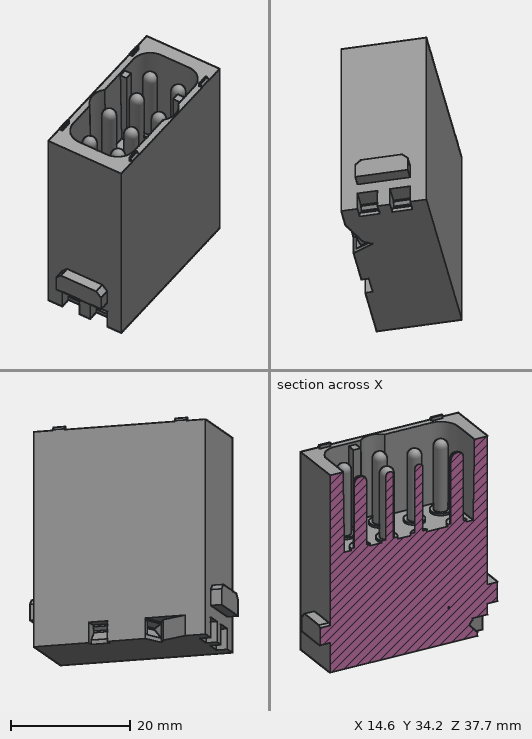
import cadquery as cq
import math

total_height = 37.67
total_length = 34.2
body_width = 14.6
body_length = 30.35
peg_height = 0.6
body_height = total_height - peg_height

cavity_width = 12.2
cavity_length = 25.2
cavity_corner_radius = 3.3
cavity_depth = 15.05
cavity_draft = 1.0
bulge_radius = 3.3
floor_z = body_height - cavity_depth

pin_diameter = 2.5
pin_tip_z = 35.4
collar_diameter = 3.7
collar_height = 0.38
bulge_pin = (3.73, 1.92)
half_pins = [(2.83, 9.3), bulge_pin, (1.85, -3.7), (2.83, -9.3)]
pins = half_pins + [(-x, -y) for x, y in half_pins]

rib_top_z = 36.55
rib_y_min = 5.2
rib_y_max = 6.6
left_rib_tip_x = -4.85
right_rib_tip_x = 4.45

tab_bottom_z = 5.58
tab_top_z = 9.25
tab_chamfer = 0.98
front_tab_width = 9.0
back_tab_width = 6.95

peg_length = 2.07
peg_width = 0.65
peg_chamfer_width = 0.35
peg_side_height = 0.1
peg_y = 10.77

slot_height = 3.55
lip_top_z = 0.75
groove_bottom_z = 2.35
groove_top_z = 2.65
roof_wall_z = 3.25
groove_depth = 1.47
roof_wall_depth = 0.98
slot_width = 3.43
front_slot_x = 2.8
front_lip_depth = 1.92
side_slot_width = 3.28
side_slot_y = 3.75
side_lip_depth = 1.28

pocket_y_max = -4.55
pocket_y_min = -11.65
pocket_angle = 24.6
pocket_wall_length = 3.95
pocket_groove_start = 0.53
pocket_roof_depth = 0.1
pocket_ramp_length = 5.0


def tab_block(width, y_start, y_end):
    """End tab with its two upper edges chamfered."""
    height = tab_top_z - tab_bottom_z
    block = cq.Workplane("XY").box(width, y_end - y_start, height, centered=(True, False, False))
    block = block.edges("|Y and >Z").chamfer(tab_chamfer)
    return block.translate((0, y_start, tab_bottom_z))


def peg():
    """Peg on the left top edge, sloped on its outer side."""
    outer_x = -body_width / 2
    profile = (
        cq.Workplane("XZ")
        .moveTo(outer_x, body_height)
        .lineTo(outer_x, body_height + peg_side_height)
        .lineTo(outer_x + peg_chamfer_width, total_height)
        .lineTo(outer_x + peg_width, total_height)
        .lineTo(outer_x + peg_width, body_height)
        .close()
    )
    return profile.extrude(peg_length / 2, both=True)


def undercut(width, roof_depth):
    """Latch groove behind a wall at Y = 0, running into +Y and centred on X."""
    profile = (
        cq.Workplane("YZ")
        .moveTo(0, lip_top_z)
        .lineTo(groove_depth, groove_bottom_z)
        .lineTo(groove_depth, groove_top_z)
        .lineTo(roof_depth, roof_wall_z)
        .lineTo(roof_depth, slot_height)
        .lineTo(0, slot_height)
        .close()
    )
    return profile.extrude(width / 2, both=True)


def slot_cutter(width, lip_depth):
    """Slot running into +Y from Y = 0, centred on X, with an undercut above its lip."""
    mouth = cq.Workplane("XY").box(width, lip_depth, slot_height, centered=(True, False, False))
    return mouth.union(undercut(width, roof_wall_depth).translate((0, lip_depth, 0)))


def slanted_pocket():
    """Wedge-shaped pocket in the -X side, with a latch groove in its short wall."""
    outer_x = -body_width / 2
    cos_a = math.cos(math.radians(pocket_angle))
    sin_a = math.sin(math.radians(pocket_angle))
    wedge = (
        cq.Workplane("XY")
        .moveTo(outer_x, pocket_y_max)
        .lineTo(outer_x + pocket_wall_length * cos_a, pocket_y_max - pocket_wall_length * sin_a)
        .lineTo(outer_x + pocket_ramp_length * sin_a, pocket_y_min + pocket_ramp_length * cos_a)
        .lineTo(outer_x, pocket_y_min)
        .close()
        .extrude(slot_height)
    )
    groove_width = pocket_wall_length - pocket_groove_start
    groove = undercut(groove_width, pocket_roof_depth).translate((pocket_groove_start + groove_width / 2, 0, 0))
    groove = groove.rotate((0, 0, 0), (0, 0, 1), -pocket_angle).translate((outer_x, pocket_y_max, 0))
    return wedge.union(groove)


def cavity():
    """Tapered rounded cavity with a round bulge beside one pin on each long side."""
    top = cq.Workplane("XY").workplane(offset=body_height)
    outline = cq.Sketch().rect(cavity_width, cavity_length).vertices().fillet(cavity_corner_radius)
    main = top.placeSketch(outline).extrude(-cavity_depth, taper=cavity_draft)
    for side in (1, -1):
        centre = (side * bulge_pin[0], side * bulge_pin[1])
        bulge = top.pushPoints([centre]).circle(bulge_radius).extrude(-cavity_depth, taper=cavity_draft)
        main = main.union(bulge)
    return main


def rib(tip_x, wall_x):
    """Rib standing on the cavity floor between its tip and a side wall."""
    return (
        cq.Workplane("XY")
        .workplane(offset=floor_z)
        .moveTo(tip_x, rib_y_min)
        .lineTo(wall_x, rib_y_min)
        .lineTo(wall_x, rib_y_max)
        .lineTo(tip_x, rib_y_max)
        .close()
        .extrude(rib_top_z - floor_z)
    )


def pin():
    """Round-tipped pin standing on the cavity floor, with a low collar at its foot."""
    radius = pin_diameter / 2
    floor = cq.Workplane("XY").workplane(offset=floor_z)
    shank = floor.circle(radius).extrude(pin_tip_z - radius - floor_z)
    tip = cq.Workplane("XY").sphere(radius).translate((0, 0, pin_tip_z - radius))
    collar = floor.circle(collar_diameter / 2).extrude(collar_height)
    return shank.union(tip).union(collar)


body = cq.Workplane("XY").box(body_width, body_length, body_height, centered=(True, True, False))
body = body.union(tab_block(front_tab_width, -total_length / 2, -body_length / 2))
body = body.union(tab_block(back_tab_width, body_length / 2, total_length / 2))

body = body.cut(cavity())
body = body.union(rib(left_rib_tip_x, -cavity_width / 2))
body = body.union(rib(right_rib_tip_x, cavity_width / 2))
for x, y in pins:
    body = body.union(pin().translate((x, y, 0)))

for y in (peg_y, -peg_y):
    left_peg = peg().translate((0, y, 0))
    body = body.union(left_peg).union(left_peg.mirror("YZ"))

for x in (front_slot_x, -front_slot_x):
    body = body.cut(slot_cutter(slot_width, front_lip_depth).translate((x, -body_length / 2, 0)))
side_slot = slot_cutter(side_slot_width, side_lip_depth).rotate((0, 0, 0), (0, 0, 1), -90)
body = body.cut(side_slot.translate((-body_width / 2, side_slot_y, 0)))
body = body.cut(slanted_pocket())

result = body